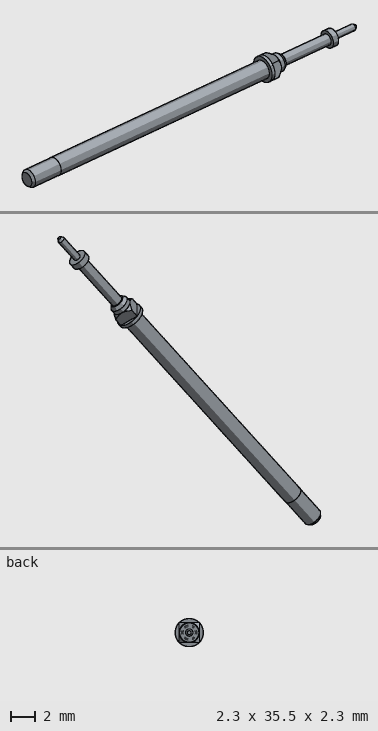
import cadquery as cq

length = 35.5
collar_front = 2.5
collar_back = 3.05
stem_end = 8.0
nose_end = 8.3
square_front = 8.7
flange_front = 9.7
flange_back = 10.0
tail_length = 3.0

pin_diameter = 0.6
collar_diameter = 1.55
stem_diameter = 1.0
nose_diameter = 1.2
body_diameter = 1.65
flange_diameter = 2.3
tail_diameter = 1.6

pin_chamfer_length = 0.25
pin_chamfer_depth = 0.15
tail_chamfer_length = 0.25
tail_chamfer_depth = 0.18

square_width = body_diameter
corner_diameter = square_width * 2**0.5
corner_cone_length = 0.3

tip_y = length / 2


def turned(sections):
    """Solid of revolution about Y through (distance from tip, diameter) pairs."""
    points = [(tip_y - distance, diameter / 2) for distance, diameter in sections]
    first_y = points[0][0]
    last_y = points[-1][0]
    return (
        cq.Workplane("YZ")
        .moveTo(first_y, 0)
        .polyline(points, includeCurrent=True)
        .lineTo(last_y, 0)
        .close()
        .revolve(360, (0, 0, 0), (1, 0, 0))
    )


def contact_plunger():
    """Thin pin with a chamfered tip, a stop collar and the stem behind it."""
    return turned([
        (0, pin_diameter - 2 * pin_chamfer_depth),
        (pin_chamfer_length, pin_diameter),
        (collar_front, pin_diameter),
        (collar_front, collar_diameter),
        (collar_back, collar_diameter),
        (collar_back, stem_diameter),
        (stem_end, stem_diameter),
    ])


def barrel():
    """Tapered nose, flange and long body ending in a slightly slimmer tail."""
    return turned([
        (stem_end, nose_diameter),
        (nose_end, body_diameter),
        (flange_front, body_diameter),
        (flange_front, flange_diameter),
        (flange_back, flange_diameter),
        (flange_back, body_diameter),
        (length - tail_length, body_diameter),
        (length - tail_length, tail_diameter),
        (length - tail_chamfer_length, tail_diameter),
        (length, tail_diameter - 2 * tail_chamfer_depth),
    ])


def square_key():
    """Square block in front of the flange with its front corners coned off."""
    block = (
        cq.Workplane("XZ", origin=(0, tip_y - square_front, 0))
        .rect(square_width, square_width)
        .extrude(flange_front - square_front)
    )
    cone = turned([
        (square_front, square_width),
        (square_front + corner_cone_length, corner_diameter),
        (flange_front, corner_diameter),
    ])
    return block.intersect(cone)


result = contact_plunger().union(barrel()).union(square_key())